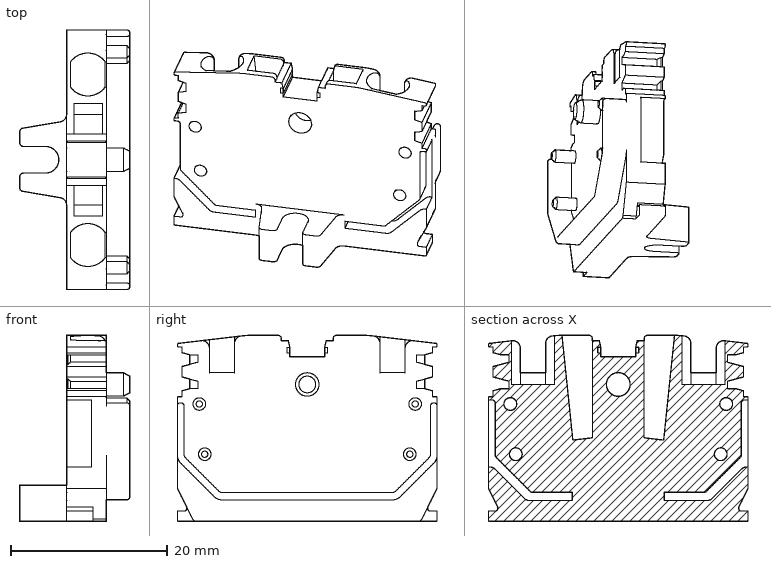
import cadquery as cq
import math


BODY_THICKNESS = 5.1
HALF_LENGTH = 16.6
HEIGHT = 23.8
CUT_MARGIN = 1.0
EDGE_TOLERANCE = 0.02

NOTCH_HALF_WIDTH = 2.22
NOTCH_FLOOR_Z = 21.05
STEP_Z = 23.1
STEP_INNER_Y = 2.4
STEP_OUTER_Y = 3.3
STEP_CHAMFER_DROP = 0.85
NOTCH_GROOVE_HEIGHT = 0.7
NOTCH_GROOVE_DEPTH = 0.4
NOTCH_GROOVE_INSET = 0.1
ROOF_EDGE_RADIUS = 0.45
ROOF_BREAK_Y = 7.66
ROOF_BREAK_RADIUS = 8.0
EAVE_TOP_Z = 22.75
EAVE_BOTTOM_Z = 22.26
EAVE_RADIUS = 0.2
SHOULDER_RADIUS = 0.15

RIB_Y = 16.03
GROOVE_Y = 15.04
GROOVE_TOPS = (21.55, 18.45)
GROOVE_OPENING = 1.75
GROOVE_FLANK_SLOPE = math.tan(math.radians(15))
GROOVE_FLANK_DROP = (RIB_Y - GROOVE_Y) * GROOVE_FLANK_SLOPE
SHOULDER_Z = 15.95

GROOVE_POCKET_Y = GROOVE_Y - 1.05
GROOVE_POCKET_EDGE_X = 0.19
GROOVE_POCKET_START_X = 0.51

FOOT_SLOPE_TOP_Z = 4.2
FOOT_SLOPE_BOTTOM_Y = 15.43
FOOT_SLOPE_BOTTOM_Z = 1.85
FOOT_TOP_Z = 1.33
FOOT_RELIEF_RADIUS = 0.25
FOOT_THICKNESS = 3.37
BASE_RADIUS = 0.15
TOE_CHAMFER_Z = 0.3

CHANNEL_DEPTH = 3.2
CHANNEL_TOP_Z = 15.5
PLATEAU_Y = 15.75
PLATEAU_BOTTOM_Z = 3.7
PLATEAU_DIAGONAL = 7.44
LIP_TOP_Z = 6.97
LIP_BOTTOM_Z = 2.67
LIP_DIAGONAL = 9.06
CHANNEL_RADIUS = 0.35
LIP_RADIUS = 1.0

RIM_HEIGHT = 3.0
RIM_TOP_Z = 15.16
RIM_BOTTOM_Z = 2.74
RIM_DIAGONAL = 8.73
RIM_OUTER_RADIUS = 1.35
RIM_INNER_RADIUS = 0.6
RIM_END_RADIUS = 0.4
RIM_CREST_RADIUS = 0.41

CENTRE_PIN_Z = 17.5
CENTRE_PIN_RADIUS = 1.5
CENTRE_TIP_LENGTH = 0.8
CENTRE_TIP_INSET = 0.43
SMALL_PIN_RADIUS = 0.8
SMALL_TIP_CHAMFER = 0.4
SMALL_PINS = ((13.8, 15.0), (13.1, 8.58))
PIN_HOLE_DEPTH = 3.2

POCKET_X = (0.94, 4.62)
POCKET_OUTER_Y = 7.18
POCKET_BOTTOM_Y = 5.79
POCKET_BOTTOM_Z = 10.4
POCKET_FLOOR_RISE = 0.3
SCREW_Y = 10.9
SCREW_X = 2.72
SCREW_RADIUS = 2.74
SCREW_HALF_WIDTH = 2.22
SCREW_FLOOR_Z = 17.5
SIDE_OPENING_FLOOR_Z = 19.0
SIDE_OPENING_RADIUS = 1.0

FORK_LENGTH = 6.0
FORK_HEIGHT = 4.63
FORK_TIP_HALF_WIDTH = 3.98
FORK_ROOT_HALF_WIDTH = 5.0
FORK_ROOT_RADIUS = 0.95
FORK_TIP_RADIUS = 0.5
FORK_SLOT_HALF_WIDTH = 1.69
FORK_SLOT_DEPTH = 5.0
CHANNEL_END_Y = 5.9


def side_polygon(points, start_x, depth):
    """Extrude a (Y, Z) outline along X, beginning at start_x."""
    return cq.Workplane("YZ").workplane(offset=start_x).polyline(points).close().extrude(depth)


def both_ends(shape):
    """Join a shape with its mirror image about Y = 0."""
    return shape.union(shape.mirror("XZ"))


def fillet_at(shape, corners, radius):
    """Round the edges parallel to X that pass through the given (Y, Z) corners."""
    for y, z in corners:
        near = (-HALF_LENGTH, y - EDGE_TOLERANCE, z - EDGE_TOLERANCE)
        far = (HALF_LENGTH, y + EDGE_TOLERANCE, z + EDGE_TOLERANCE)
        box = cq.selectors.BoxSelector(near, far)
        shape = shape.edges("|X").edges(box).fillet(radius)
    return shape


def roof_z(y):
    """Height of the sloping roof at a distance y from the centre."""
    return HEIGHT - (HEIGHT - EAVE_TOP_Z) * (y - ROOF_BREAK_Y) / (HALF_LENGTH - ROOF_BREAK_Y)


def make_half_body():
    points = [
        (0, 0),
        (0, NOTCH_FLOOR_Z),
        (NOTCH_HALF_WIDTH, NOTCH_FLOOR_Z),
        (NOTCH_HALF_WIDTH, STEP_Z - STEP_CHAMFER_DROP),
        (STEP_INNER_Y, STEP_Z),
        (STEP_OUTER_Y, STEP_Z),
        (STEP_OUTER_Y, HEIGHT),
        (ROOF_BREAK_Y, HEIGHT),
        (HALF_LENGTH, EAVE_TOP_Z),
        (HALF_LENGTH, EAVE_BOTTOM_Z),
        (RIB_Y, EAVE_BOTTOM_Z),
    ]
    for top in GROOVE_TOPS:
        bottom = top - GROOVE_OPENING
        points += [
            (RIB_Y, top),
            (GROOVE_Y, top - GROOVE_FLANK_DROP),
            (GROOVE_Y, bottom + GROOVE_FLANK_DROP),
            (RIB_Y, bottom),
        ]
    points += [
        (RIB_Y, SHOULDER_Z),
        (HALF_LENGTH, SHOULDER_Z),
        (HALF_LENGTH, FOOT_SLOPE_TOP_Z),
        (FOOT_SLOPE_BOTTOM_Y, FOOT_SLOPE_BOTTOM_Z),
        (FOOT_SLOPE_BOTTOM_Y, FOOT_TOP_Z),
        (HALF_LENGTH, FOOT_TOP_Z),
        (HALF_LENGTH, 0),
    ]
    half = side_polygon(points, 0, BODY_THICKNESS)
    half = fillet_at(half, [(STEP_OUTER_Y, HEIGHT)], ROOF_EDGE_RADIUS)
    half = fillet_at(half, [(ROOF_BREAK_Y, HEIGHT)], ROOF_BREAK_RADIUS)
    half = fillet_at(half, [(HALF_LENGTH, EAVE_TOP_Z), (HALF_LENGTH, EAVE_BOTTOM_Z)], EAVE_RADIUS)
    half = fillet_at(half, [(HALF_LENGTH, SHOULDER_Z)], SHOULDER_RADIUS)
    half = fillet_at(half, [(HALF_LENGTH, 0)], BASE_RADIUS)
    return fillet_at(half, [(FOOT_SLOPE_BOTTOM_Y, FOOT_TOP_Z)], FOOT_RELIEF_RADIUS)


def make_notch_groove():
    """Shallow groove in the notch wall, just below the step chamfer and closed at both ends."""
    top = STEP_Z - STEP_CHAMFER_DROP
    length = BODY_THICKNESS - 2 * NOTCH_GROOVE_INSET
    points = [
        (NOTCH_HALF_WIDTH, top),
        (NOTCH_HALF_WIDTH + NOTCH_GROOVE_DEPTH, top),
        (NOTCH_HALF_WIDTH + NOTCH_GROOVE_DEPTH, top - NOTCH_GROOVE_HEIGHT),
        (NOTCH_HALF_WIDTH, top - NOTCH_GROOVE_HEIGHT),
    ]
    return side_polygon(points, NOTCH_GROOVE_INSET, length)


def make_foot_cut():
    """Removes the foot beyond its thickness, along the continued foot slope."""
    run_per_drop = (HALF_LENGTH - FOOT_SLOPE_BOTTOM_Y) / (FOOT_SLOPE_TOP_Z - FOOT_SLOPE_BOTTOM_Z)
    toe_y = HALF_LENGTH - run_per_drop * (FOOT_SLOPE_TOP_Z - TOE_CHAMFER_Z)
    points = [
        (HALF_LENGTH, FOOT_SLOPE_TOP_Z),
        (toe_y, TOE_CHAMFER_Z),
        (toe_y - TOE_CHAMFER_Z, 0),
        (toe_y - TOE_CHAMFER_Z, -CUT_MARGIN),
        (HALF_LENGTH + CUT_MARGIN, -CUT_MARGIN),
        (HALF_LENGTH + CUT_MARGIN, FOOT_SLOPE_TOP_Z),
    ]
    return side_polygon(points, FOOT_THICKNESS, BODY_THICKNESS)


def make_channel_cut():
    open_y = HALF_LENGTH + CUT_MARGIN
    plateau_corners = [
        (PLATEAU_Y, CHANNEL_TOP_Z),
        (PLATEAU_Y, PLATEAU_Y - PLATEAU_DIAGONAL),
        (PLATEAU_DIAGONAL + PLATEAU_BOTTOM_Z, PLATEAU_BOTTOM_Z),
    ]
    lip_corners = [
        (LIP_DIAGONAL + LIP_BOTTOM_Z, LIP_BOTTOM_Z),
        (LIP_DIAGONAL + LIP_TOP_Z, LIP_TOP_Z),
    ]
    points = [(open_y, CHANNEL_TOP_Z)]
    points += plateau_corners
    points += [(CHANNEL_END_Y, PLATEAU_BOTTOM_Z), (CHANNEL_END_Y, LIP_BOTTOM_Z)]
    points += lip_corners
    points += [(open_y, LIP_TOP_Z)]
    channel = side_polygon(points, 0, CHANNEL_DEPTH)
    channel = fillet_at(channel, plateau_corners, CHANNEL_RADIUS)
    return fillet_at(channel, lip_corners, LIP_RADIUS)


def make_groove_pockets():
    """Deepens both grooves; the upper one has a sloping floor, the lower one a sloping ceiling."""
    plan = [
        (GROOVE_POCKET_EDGE_X, GROOVE_Y),
        (GROOVE_POCKET_START_X, GROOVE_POCKET_Y),
        (BODY_THICKNESS + CUT_MARGIN, GROOVE_POCKET_Y),
        (BODY_THICKNESS + CUT_MARGIN, GROOVE_Y),
    ]
    plan_cut = cq.Workplane("XY").polyline(plan).close().extrude(HEIGHT)
    rise = (GROOVE_Y - GROOVE_POCKET_Y) * GROOVE_FLANK_SLOPE
    upper_top, lower_top = [top - GROOVE_FLANK_DROP for top in GROOVE_TOPS]
    wall_height = GROOVE_OPENING - 2 * GROOVE_FLANK_DROP
    upper = [
        (GROOVE_Y, upper_top),
        (GROOVE_POCKET_Y, upper_top),
        (GROOVE_POCKET_Y, upper_top - wall_height + rise),
        (GROOVE_Y, upper_top - wall_height),
    ]
    lower = [
        (GROOVE_Y, lower_top),
        (GROOVE_POCKET_Y, lower_top - rise),
        (GROOVE_POCKET_Y, lower_top - wall_height),
        (GROOVE_Y, lower_top - wall_height),
    ]
    cut_depth = BODY_THICKNESS + CUT_MARGIN
    sides = side_polygon(upper, 0, cut_depth).union(side_polygon(lower, 0, cut_depth))
    return sides.intersect(plan_cut)


def make_funnel_cut():
    """Rectangular pocket behind the roof step, with a tapered outer wall."""
    points = [
        (STEP_OUTER_Y, HEIGHT + CUT_MARGIN),
        (POCKET_OUTER_Y, HEIGHT + CUT_MARGIN),
        (POCKET_OUTER_Y, HEIGHT),
        (POCKET_BOTTOM_Y, POCKET_BOTTOM_Z),
        (STEP_OUTER_Y, POCKET_BOTTOM_Z + POCKET_FLOOR_RISE),
    ]
    return side_polygon(points, POCKET_X[0], POCKET_X[1] - POCKET_X[0])


def make_screw_cut():
    """Flat-sided screw well with a round-shouldered opening through the outer wall."""
    well = (
        cq.Workplane("XY").workplane(offset=SCREW_FLOOR_Z)
        .center(SCREW_X, SCREW_Y).circle(SCREW_RADIUS).extrude(HEIGHT)
    )
    flats = (
        cq.Workplane("XY").center(SCREW_X, SCREW_Y)
        .rect(2 * SCREW_HALF_WIDTH, 2 * SCREW_RADIUS + CUT_MARGIN).extrude(2 * HEIGHT)
    )
    half_width = math.sqrt(SCREW_RADIUS**2 - SCREW_HALF_WIDTH**2)
    inner, outer = SCREW_Y - half_width, SCREW_Y + half_width
    radius = SIDE_OPENING_RADIUS
    inner_top, outer_top = roof_z(inner - radius), roof_z(outer + radius)
    above = HEIGHT + CUT_MARGIN
    opening = (
        cq.Workplane("YZ").workplane(offset=SCREW_X)
        .moveTo(inner, SIDE_OPENING_FLOOR_Z)
        .lineTo(inner, inner_top - radius)
        .radiusArc((inner - radius, inner_top), -radius)
        .lineTo(inner - radius, above)
        .lineTo(outer + radius, above)
        .lineTo(outer + radius, outer_top)
        .radiusArc((outer, outer_top - radius), -radius)
        .lineTo(outer, SIDE_OPENING_FLOOR_Z)
        .close().extrude(BODY_THICKNESS)
    )
    return well.intersect(flats).union(opening)


def make_rim():
    """U-shaped rail running down both ends and across the lower part of the face."""
    top = RIM_TOP_Z
    outer_corners = [
        (HALF_LENGTH, HALF_LENGTH - RIM_DIAGONAL),
        (RIM_DIAGONAL + RIM_BOTTOM_Z, RIM_BOTTOM_Z),
    ]
    inner_corners = [
        (PLATEAU_DIAGONAL + PLATEAU_BOTTOM_Z, PLATEAU_BOTTOM_Z),
        (PLATEAU_Y, PLATEAU_Y - PLATEAU_DIAGONAL),
    ]
    end_corners = [(PLATEAU_Y, top), (HALF_LENGTH, top)]
    points = end_corners[1:] + outer_corners
    points += [(0, RIM_BOTTOM_Z), (0, PLATEAU_BOTTOM_Z)]
    points += inner_corners + end_corners[:1]
    half = side_polygon(points, BODY_THICKNESS, RIM_HEIGHT)
    half = fillet_at(half, outer_corners, RIM_OUTER_RADIUS)
    half = fillet_at(half, inner_corners, RIM_INNER_RADIUS)
    half = fillet_at(half, end_corners, RIM_END_RADIUS)
    return both_ends(half).faces(">X").edges().fillet(RIM_CREST_RADIUS)


def make_pin(y, z, radius, tip_length, tip_inset):
    """Peg on the outer face, ending in a conical tip."""
    pin = (
        cq.Workplane("YZ").workplane(offset=BODY_THICKNESS)
        .center(y, z).circle(radius).extrude(RIM_HEIGHT)
    )
    return pin.faces(">X").edges().chamfer(tip_length, tip_inset)


def make_pin_hole(y, z, radius):
    return cq.Workplane("YZ").center(y, z).circle(radius).extrude(PIN_HOLE_DEPTH)


def make_fork():
    outline = [
        (CUT_MARGIN, -CHANNEL_END_Y),
        (0, -CHANNEL_END_Y),
        (0, -FORK_ROOT_HALF_WIDTH),
        (-FORK_LENGTH, -FORK_TIP_HALF_WIDTH),
        (-FORK_LENGTH, FORK_TIP_HALF_WIDTH),
        (0, FORK_ROOT_HALF_WIDTH),
        (0, CHANNEL_END_Y),
        (CUT_MARGIN, CHANNEL_END_Y),
    ]
    fork = cq.Workplane("XY").polyline(outline).close().extrude(FORK_HEIGHT)
    for side in (-1, 1):
        root = cq.selectors.NearestToPointSelector((0, side * FORK_ROOT_HALF_WIDTH, FORK_HEIGHT / 2))
        fork = fork.edges("|Z").edges(root).fillet(FORK_ROOT_RADIUS)
    slot_end_x = FORK_SLOT_DEPTH - FORK_LENGTH - FORK_SLOT_HALF_WIDTH
    slot = (
        cq.Workplane("XY").moveTo(-FORK_LENGTH - CUT_MARGIN, -FORK_SLOT_HALF_WIDTH)
        .lineTo(slot_end_x, -FORK_SLOT_HALF_WIDTH)
        .radiusArc((slot_end_x, FORK_SLOT_HALF_WIDTH), -FORK_SLOT_HALF_WIDTH)
        .lineTo(-FORK_LENGTH - CUT_MARGIN, FORK_SLOT_HALF_WIDTH)
        .close().extrude(FORK_HEIGHT)
    )
    fork = fork.cut(slot)
    return fork.faces("<X").edges("|Z").fillet(FORK_TIP_RADIUS)


half_body = make_half_body()
half_body = half_body.cut(make_notch_groove())
half_body = half_body.cut(make_foot_cut())
half_body = half_body.cut(make_channel_cut())
half_body = half_body.cut(make_groove_pockets())
half_body = half_body.cut(make_funnel_cut())
half_body = half_body.cut(make_screw_cut())
for pin_y, pin_z in SMALL_PINS:
    half_body = half_body.cut(make_pin_hole(pin_y, pin_z, SMALL_PIN_RADIUS))
    half_body = half_body.union(
        make_pin(pin_y, pin_z, SMALL_PIN_RADIUS, SMALL_TIP_CHAMFER, SMALL_TIP_CHAMFER)
    )

result = both_ends(half_body)
result = result.cut(make_pin_hole(0, CENTRE_PIN_Z, CENTRE_PIN_RADIUS))
result = result.union(make_pin(0, CENTRE_PIN_Z, CENTRE_PIN_RADIUS, CENTRE_TIP_LENGTH, CENTRE_TIP_INSET))
result = result.union(make_rim())
result = result.union(make_fork())